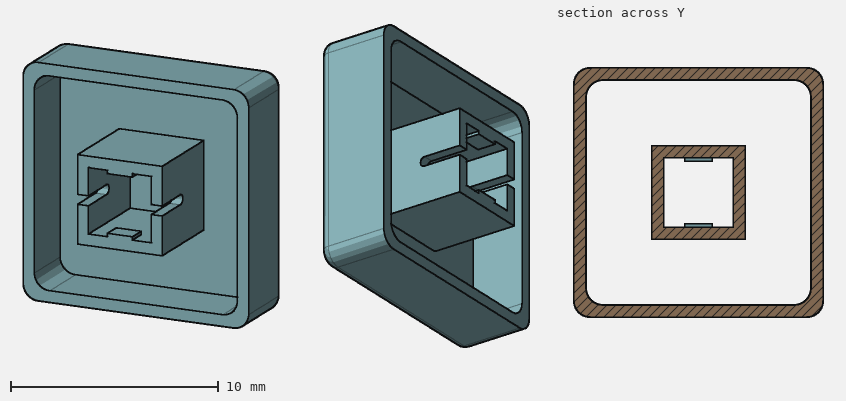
import cadquery as cq

cap_size = 12.0
cap_height = 3.8
corner_radius = 0.8
cap_edge_radius = 0.5
cap_wall = 0.6
cap_top_thickness = 0.9
cavity_size = cap_size - 2 * cap_wall
cavity_depth = cap_height - cap_top_thickness

stem_size = 4.5
stem_wall = 0.58
stem_projection = 1.8
socket_size = stem_size - 2 * stem_wall
stem_front = -stem_projection
stem_length = stem_projection + cavity_depth

slot_width = 0.5
slot_length = 2.32

pad_width = 1.33
pad_length = 1.0
pad_height = 0.17


def square_block(size, front, length):
    """Square block centred on the Y axis, running from `front` toward +Y."""
    return cq.Workplane("XZ", origin=(0, front, 0)).rect(size, size).extrude(-length)


def make_cap():
    body = square_block(cap_size, 0, cap_height).edges("|Y").fillet(corner_radius)
    body = body.faces(">Y").edges().fillet(cap_edge_radius)
    cavity = square_block(cavity_size, 0, cavity_depth).edges("|Y").fillet(corner_radius)
    return body.cut(cavity)


def make_slot():
    """Cutter for both slots: one bar along X, rounded at its inner end."""
    end_radius = slot_width / 2
    bar_length = slot_length - end_radius
    return (
        cq.Workplane("YZ", origin=(-stem_size / 2, stem_front, 0))
        .moveTo(0, -end_radius)
        .lineTo(bar_length, -end_radius)
        .threePointArc((slot_length, 0), (bar_length, end_radius))
        .lineTo(0, end_radius)
        .close()
        .extrude(stem_size)
    )


def make_pad(side):
    """Grip pad on the socket wall at +Z (side = 1) or -Z (side = -1)."""
    wall_z = side * socket_size / 2
    return (
        cq.Workplane("XY")
        .box(pad_width, pad_length, pad_height)
        .translate((0, stem_front + pad_length / 2, wall_z - side * pad_height / 2))
    )


def make_stem():
    stem = square_block(stem_size, stem_front, stem_length)
    stem = stem.cut(square_block(socket_size, stem_front, stem_length))
    stem = stem.cut(make_slot())
    for side in (1, -1):
        stem = stem.union(make_pad(side))
    return stem


result = make_cap().union(make_stem())